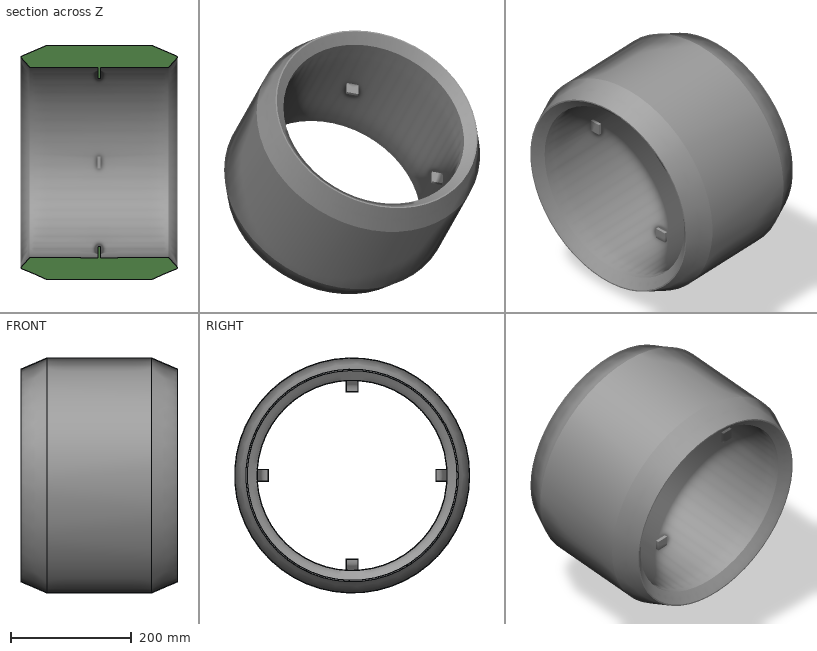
import cadquery as cq

length = 260.0
outer_diameter = 390.0
bore_diameter = 315.0

outer_taper_length = length / 6
end_diameter = 352.5
mouth_diameter = 348.0
mouth_depth = 15.0

tab_count = 4
tab_width = 20.0
tab_thickness = 5.0
tab_tip_radius = 139.0
wall_overlap = 7.8


def make_ring():
    """Revolve the wall section, tapered outside and inside at both ends."""
    half_length = length / 2
    outer_edge = half_length - outer_taper_length
    bore_edge = half_length - mouth_depth
    section = (
        cq.Workplane("XY")
        .moveTo(-half_length, mouth_diameter / 2)
        .lineTo(-half_length, end_diameter / 2)
        .lineTo(-outer_edge, outer_diameter / 2)
        .lineTo(outer_edge, outer_diameter / 2)
        .lineTo(half_length, end_diameter / 2)
        .lineTo(half_length, mouth_diameter / 2)
        .lineTo(bore_edge, bore_diameter / 2)
        .lineTo(-bore_edge, bore_diameter / 2)
        .close()
    )
    return section.revolve(360, (0, 0, 0), (1, 0, 0))


def make_tab(angle):
    """One tab, rooted in the wall and turned about X by the angle."""
    root_radius = bore_diameter / 2 + wall_overlap
    height = root_radius - tab_tip_radius
    return (
        cq.Workplane("XY")
        .box(tab_thickness, tab_width, height)
        .translate((0, 0, tab_tip_radius + height / 2))
        .rotate((0, 0, 0), (1, 0, 0), angle)
    )


result = make_ring()
for index in range(tab_count):
    result = result.union(make_tab(index * 360 / tab_count))